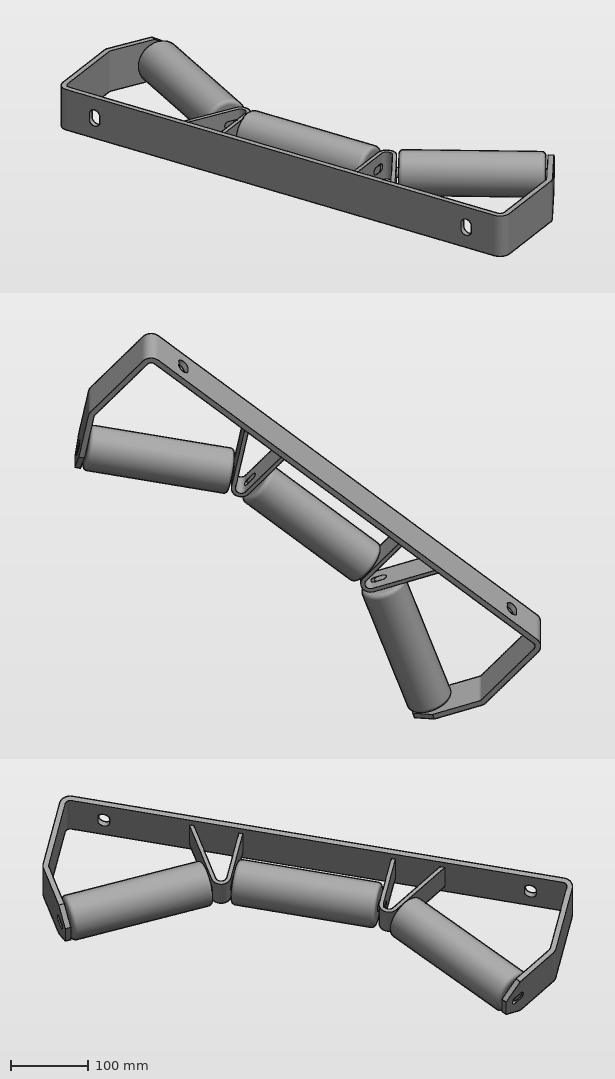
import cadquery as cq
import math

LENGTH = 680.0
HEIGHT = 203.0
WIDTH = 60.0
TILT = 30.0

FRAME_THICK = 7.5
FRAME_BEND = 14.0
ARM_BEND_Y = 117.0
TIP_TAPER_LENGTH = 27.0
TIP_END_WIDTH = 26.0
FOOT_SLOT_LENGTH = 24.0
FOOT_SLOT_WIDTH = 15.5
FOOT_SLOT_X = 283.0

ROLLER_DIAMETER = 60.0
ROLLER_LENGTH = 190.5
ROLLER_ROUND = 5.5
AXIS_Y = 71.5

BRACKET_THICK = 5.5
BRACKET_WIDTH = 40.0
BRACKET_BEND = 13.0
BRACKET_TOP = 95.0

AXLE_DEPTH = 16.0
AXLE_WIDTH = 11.0
AXLE_SLOT_LENGTH = 21.0

MIDDLE_Z = WIDTH / 2
SIN = math.sin(math.radians(TILT))
COS = math.cos(math.radians(TILT))
UP_ARM = (SIN, COS)
OUT_OF_ARM = (-COS, SIN)


def step(point, direction, distance):
    """Return the point reached by moving a distance along a direction."""
    return (point[0] + direction[0] * distance, point[1] + direction[1] * distance)


ARM_CENTER = (-LENGTH / 2 + FRAME_BEND, ARM_BEND_Y)
ARM_OUTER = step(ARM_CENTER, OUT_OF_ARM, FRAME_BEND)
ARM_TIP = step(ARM_OUTER, UP_ARM, (HEIGHT - ARM_OUTER[1]) / COS)

ARM_INNER_OFFSET = COS * -ARM_CENTER[0] + SIN * ARM_CENTER[1] + FRAME_BEND - FRAME_THICK
BRACKET_OFFSET = COS * BRACKET_BEND + SIN * (BRACKET_TOP - BRACKET_BEND) + BRACKET_BEND
AXLE_SPAN = (ARM_INNER_OFFSET - BRACKET_OFFSET) / (1 + COS / 2)

BRACKET_CENTER = (-AXLE_SPAN / 2 - BRACKET_BEND, BRACKET_TOP - BRACKET_BEND)
AXIS_DROP = BRACKET_CENTER[1] - AXIS_Y
INNER_SUPPORT = step(step(BRACKET_CENTER, OUT_OF_ARM, BRACKET_BEND), UP_ARM, -AXIS_DROP)
OUTER_SUPPORT = step(INNER_SUPPORT, OUT_OF_ARM, AXLE_SPAN)
TILTED_CENTER = step(INNER_SUPPORT, OUT_OF_ARM, AXLE_SPAN / 2)


def mirrored(body):
    """Return the matching body on the +X side."""
    return body.mirror("YZ")


def axle_slot_cutter(axis_point, normal, up):
    """Rounded slot through a strip, with its lower end fitted around the axle."""
    center = step(axis_point, up, (AXLE_SLOT_LENGTH - AXLE_DEPTH) / 2)
    plane = cq.Plane(origin=(*center, MIDDLE_Z), xDir=(*up, 0), normal=(*normal, 0))
    return cq.Workplane(plane).slot2D(AXLE_SLOT_LENGTH, AXLE_WIDTH).extrude(FRAME_THICK, both=True)


def frame_outline():
    """Left half of the bent strip's edge, closed along the middle of the part."""
    outer_x = -LENGTH / 2
    inner_bend = FRAME_BEND - FRAME_THICK
    foot_center = (outer_x + FRAME_BEND, FRAME_BEND)
    half_turn = math.radians(TILT / 2)
    mid_arm = (-math.cos(half_turn), math.sin(half_turn))
    mid_foot = (-math.sqrt(0.5), -math.sqrt(0.5))
    arm_inner = step(ARM_CENTER, OUT_OF_ARM, inner_bend)
    return (
        cq.Workplane("XY")
        .moveTo(0, 0)
        .lineTo(foot_center[0], 0)
        .threePointArc(step(foot_center, mid_foot, FRAME_BEND), (outer_x, foot_center[1]))
        .lineTo(outer_x, ARM_BEND_Y)
        .threePointArc(step(ARM_CENTER, mid_arm, FRAME_BEND), ARM_OUTER)
        .lineTo(*ARM_TIP)
        .lineTo(*step(ARM_TIP, OUT_OF_ARM, -FRAME_THICK))
        .lineTo(*arm_inner)
        .threePointArc(step(ARM_CENTER, mid_arm, inner_bend), (outer_x + FRAME_THICK, ARM_BEND_Y))
        .lineTo(outer_x + FRAME_THICK, foot_center[1])
        .threePointArc(step(foot_center, mid_foot, inner_bend), (foot_center[0], FRAME_THICK))
        .lineTo(0, FRAME_THICK)
        .close()
    )


def tip_cutter():
    """Two wedges that taper the arm tip across its width."""
    plane = cq.Plane(origin=(*ARM_TIP, MIDDLE_Z), xDir=(*UP_ARM, 0), normal=(*OUT_OF_ARM, 0))
    wedges = cq.Workplane(plane)
    for side in (-1, 1):
        wedges = (
            wedges.moveTo(-TIP_TAPER_LENGTH, side * WIDTH / 2)
            .lineTo(0, side * WIDTH / 2)
            .lineTo(0, side * TIP_END_WIDTH / 2)
            .close()
        )
    return wedges.extrude(2 * FRAME_THICK, both=True)


def make_frame():
    """Both halves of the bent strip joined, with tapered tips, axle slots and foot slots."""
    half = frame_outline().extrude(WIDTH).cut(tip_cutter())
    half = half.cut(axle_slot_cutter(OUTER_SUPPORT, OUT_OF_ARM, UP_ARM))
    foot_slot = (
        cq.Workplane("XZ", origin=(-FOOT_SLOT_X, 0, MIDDLE_Z))
        .slot2D(FOOT_SLOT_LENGTH, FOOT_SLOT_WIDTH, angle=90)
        .extrude(-FRAME_THICK)
    )
    half = half.cut(foot_slot)
    return half.union(mirrored(half))


def make_left_bracket():
    """Bent strip standing on the frame, with an upright leg and a sloping leg."""
    inner_bend = BRACKET_BEND - BRACKET_THICK
    crown = (0, 1)
    center_x, center_y = BRACKET_CENTER
    slope_outer = step(BRACKET_CENTER, OUT_OF_ARM, BRACKET_BEND)
    slope_inner = step(BRACKET_CENTER, OUT_OF_ARM, inner_bend)
    foot_outer = step(slope_outer, UP_ARM, (FRAME_THICK - slope_outer[1]) / COS)
    foot_inner = step(slope_inner, UP_ARM, (FRAME_THICK - slope_inner[1]) / COS)
    bracket = (
        cq.Workplane("XY")
        .workplane(offset=MIDDLE_Z - BRACKET_WIDTH / 2)
        .moveTo(center_x + BRACKET_BEND, FRAME_THICK)
        .lineTo(center_x + BRACKET_BEND, center_y)
        .threePointArc(step(BRACKET_CENTER, crown, BRACKET_BEND), slope_outer)
        .lineTo(*foot_outer)
        .lineTo(*foot_inner)
        .lineTo(*slope_inner)
        .threePointArc(step(BRACKET_CENTER, crown, inner_bend), (center_x + inner_bend, center_y))
        .lineTo(center_x + inner_bend, FRAME_THICK)
        .close()
        .extrude(BRACKET_WIDTH)
    )
    slope_slot = axle_slot_cutter(INNER_SUPPORT, OUT_OF_ARM, UP_ARM)
    upright_slot = axle_slot_cutter((-AXLE_SPAN / 2, AXIS_Y), (1, 0), (0, 1))
    return bracket.cut(slope_slot).cut(upright_slot)


def make_roller(center, axis, up):
    """Drum on an oblong axle that passes into the supports at both ends."""
    plane = cq.Plane(origin=(*center, MIDDLE_Z), xDir=(*up, 0), normal=(*axis, 0))
    drum = (
        cq.Workplane(plane)
        .workplane(offset=-ROLLER_LENGTH / 2)
        .circle(ROLLER_DIAMETER / 2)
        .extrude(ROLLER_LENGTH)
        .edges("%CIRCLE")
        .fillet(ROLLER_ROUND)
    )
    axle_length = AXLE_SPAN + 2 * BRACKET_THICK
    axle = (
        cq.Workplane(plane)
        .workplane(offset=-axle_length / 2)
        .slot2D(AXLE_DEPTH, AXLE_WIDTH)
        .extrude(axle_length)
    )
    return drum.union(axle)


frame = make_frame()
left_bracket = make_left_bracket()
brackets = [left_bracket, mirrored(left_bracket)]
middle_roller = make_roller((0, AXIS_Y), (1, 0), (0, 1))
left_roller = make_roller(TILTED_CENTER, OUT_OF_ARM, UP_ARM)
rollers = [middle_roller, left_roller, mirrored(left_roller)]

bodies = [frame, *brackets, *rollers]
result = cq.Compound.makeCompound([body.val() for body in bodies])